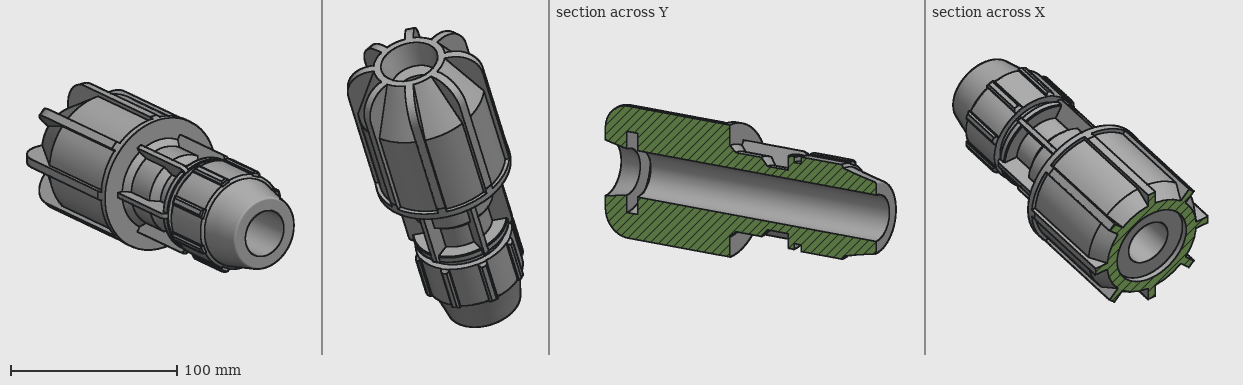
import cadquery as cq

total_length = 195.0

cup_radius = 39.0
nose_radius = 22.0
nose_length = 30.5
rim_radius = 41.5
rim_start = 85.8
rim_end = 89.9
fin_count = 8
fin_width = 5.3
fin_root_radius = 19.5
fin_flat_end = 82.7
fin_corner_radius = 16.5

shoulder_radius = 28.7
barrel_radius = 25.0
barrel_start = 94.0
barrel_end = 112.3
waist_radius = 20.0
waist_start = 116.8
collar_radius = 29.2
collar_start = 131.6
collar_end = 136.3
collar_chamfer = 0.5
neck_radius = 51.3 / 2
rib_count = 6
rib_radius = 32.0
rib_width = 3.1
rib_corner_radius = 3.5

nut_radius = 29.8
nut_start = 141.0
nut_side_end = 170.5
tip_start = 171.6
lug_count = 8
lug_radius = 32.0
lug_top_width = 3.0
lug_flare = 1.27
lug_start_chamfer = 2.0
lug_end = 170.8
lug_end_chamfer = 1.0
tip_base_radius = 27.7
tip_radius = 22.8
tip_round = 1.5

bore_radius = 14.5
mouth_radius = 17.5
mouth_depth = 15.8
chamber_radius = 25.4
chamber_end = 23.4


def revolve_about_x(points):
    """Solid of revolution around X of a closed (x, radius) outline."""
    return cq.Workplane("XY").polyline(points).close().revolve(360, (0, 0, 0), (1, 0, 0))


def repeat_about_x(solid, count, first_angle=0.0):
    """Union of equally spaced copies of a solid around X."""
    copies = cq.Workplane("XY")
    for index in range(count):
        angle = first_angle + index * 360 / count
        copies = copies.union(solid.rotate((0, 0, 0), (1, 0, 0), angle))
    return copies


def make_large_nut():
    cup = revolve_about_x([
        (0, 0),
        (0, nose_radius),
        (nose_length, cup_radius),
        (rim_start, cup_radius),
        (rim_start, rim_radius),
        (rim_end, rim_radius),
        (rim_end, 0),
    ])
    fin = (
        cq.Workplane("XY")
        .moveTo(0, fin_root_radius)
        .lineTo(0, rim_radius - fin_corner_radius)
        .radiusArc((fin_corner_radius, rim_radius), fin_corner_radius)
        .lineTo(fin_flat_end, rim_radius)
        .lineTo(fin_flat_end, fin_root_radius)
        .close()
        .extrude(fin_width / 2, both=True)
    )
    fin_end = (
        cq.Workplane("YZ", origin=(fin_flat_end, 0, 0))
        .circle(rim_radius)
        .extrude(rim_start - fin_flat_end)
        .intersect(cq.Workplane("XY").box(
            total_length, rim_radius, fin_width, centered=(False, False, True)))
    )
    return cup.union(repeat_about_x(fin.union(fin_end), fin_count)).clean()


def make_body():
    core = revolve_about_x([
        (rim_end, 0),
        (rim_end, shoulder_radius),
        (barrel_start, barrel_radius),
        (barrel_end, barrel_radius),
        (waist_start, waist_radius),
        (collar_start, waist_radius),
        (collar_start, collar_radius - collar_chamfer),
        (collar_start + collar_chamfer, collar_radius),
        (collar_end - collar_chamfer, collar_radius),
        (collar_end, collar_radius - collar_chamfer),
        (collar_end, neck_radius),
        (nut_start, neck_radius),
        (nut_start, 0),
    ])
    rib = (
        cq.Workplane("XY")
        .moveTo(rim_end, bore_radius)
        .lineTo(rim_end, rib_radius)
        .lineTo(collar_end - rib_corner_radius, rib_radius)
        .radiusArc((collar_end, rib_radius - rib_corner_radius), rib_corner_radius)
        .lineTo(collar_end, bore_radius)
        .close()
        .extrude(rib_width / 2, both=True)
    )
    return core.union(repeat_about_x(rib, rib_count))


def make_small_nut():
    nut = (
        cq.Workplane("XY")
        .moveTo(nut_start, 0)
        .lineTo(nut_start, nut_radius)
        .lineTo(nut_side_end, nut_radius)
        .lineTo(tip_start, tip_base_radius)
        .lineTo(total_length - tip_round, tip_radius)
        .radiusArc((total_length, tip_radius - tip_round), tip_round)
        .lineTo(total_length, 0)
        .close()
        .revolve(360, (0, 0, 0), (1, 0, 0))
    )
    half_top = lug_top_width / 2
    half_base = half_top + lug_flare
    base_radius = lug_radius - lug_flare
    lug = (
        cq.Workplane("YZ", origin=(nut_start, 0, 0))
        .polyline([
            (-half_base, tip_base_radius),
            (-half_base, base_radius),
            (-half_top, lug_radius),
            (half_top, lug_radius),
            (half_base, base_radius),
            (half_base, tip_base_radius),
        ])
        .close()
        .extrude(lug_end - nut_start)
        .faces("<X").edges(">Z").chamfer(lug_start_chamfer)
        .faces(">X").edges(">Z").chamfer(lug_end_chamfer)
    )
    return nut.union(repeat_about_x(lug, lug_count, 180 / lug_count))


def make_bore():
    return revolve_about_x([
        (0, 0),
        (0, mouth_radius),
        (mouth_depth, bore_radius),
        (mouth_depth, chamber_radius),
        (chamber_end, chamber_radius),
        (chamber_end, bore_radius),
        (total_length, bore_radius),
        (total_length, 0),
    ])


result = make_large_nut().union(make_body()).union(make_small_nut()).cut(make_bore())